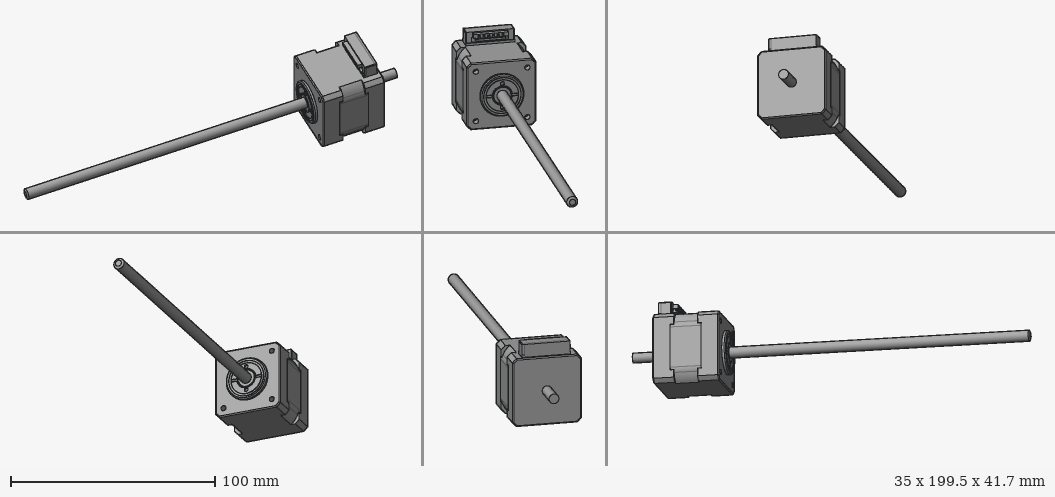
import cadquery as cq
import math


overall_length = 199.5
body_width = 35.0
body_length = 33.3
body_half = body_width / 2
body_middle_y = body_length / 2
cap_corner_diameter = 46.5
body_edge_chamfer = 0.5

stator_length = 12.0
stator_top_half = 13.0
stator_shoulder_x = 16.5
stator_shoulder_z = 12.8
stator_side_x = 17.25
stator_flat_half = 10.2
corner_bulge = 0.4
side_pocket_length = 15.5
side_pocket_height = 23.0

hole_spacing = 26.0
hole_diameter = 2.5
hole_depth = 4.0

boss_diameter = 22.0
boss_height = 1.8
boss_chamfer = 0.5
ring_outer_diameter = 18.8
ring_inner_diameter = 16.4
ring_depth = 0.4
bore_diameter = 10.0
bore_depth = 1.0
collar_diameter = 8.8
slot_width = 1.2
slot_depth = 0.5
boss_hole_diameter = 2.0
boss_hole_radius = 6.2
boss_hole_depth = 1.0

front_shaft_diameter = 5.5
rear_shaft_diameter = 5.0
rear_shaft_length = 13.5
tip_diameter = 3.2
tip_chamfer_length = 0.5
front_shaft_end = overall_length - rear_shaft_length - body_length

overall_height = 41.7
connector_width = 24.5
connector_height = overall_height - body_width
connector_depth = 6.5
connector_rear_gap = 1.8
connector_chamfer = 0.4
connector_rear_bevel_length = 1.2
connector_rear_bevel_inset = 0.2
foot_height = 1.2
foot_depth = 7.2
recess_width = 18.5
recess_top = 3.8
recess_depth = 0.5
lip_width = 17.5
lip_bottom = 4.2
lip_top = 6.2
lip_reach = 9.0
tongue_width = 15.0
tongue_bottom = 2.4
tongue_top = 3.4
tongue_reach = 8.4
web_reach = 7.5
contact_count = 6
contact_pitch = 2.4
contact_slot_width = 1.0
contact_slot_height = 1.2


def cylinder_y(diameter, start_y, end_y, x=0.0, z=0.0):
    """Round bar along Y between two Y positions."""
    base = cq.Workplane("XZ", origin=(x, start_y, z))
    return base.circle(diameter / 2).extrude(start_y - end_y)


def block(width, start_y, end_y, bottom, top):
    """Box centred on X = 0 between the given Y and Z limits."""
    base = cq.Workplane("XY", origin=(0, (start_y + end_y) / 2, bottom))
    return base.rect(width, abs(end_y - start_y)).extrude(top - bottom)


def stator_prism():
    """Stator section, with bulged corners and rolled side edges, along the whole body."""
    drop = stator_side_x - stator_shoulder_x
    rise = stator_shoulder_z - stator_flat_half
    roll_radius = (rise**2 + drop**2) / (2 * drop)
    half_angle = math.asin(rise / roll_radius) / 2
    roll_x = stator_side_x - roll_radius * (1 - math.cos(half_angle))
    roll_z = stator_flat_half + roll_radius * math.sin(half_angle)

    run = stator_shoulder_x - stator_top_half
    climb = body_half - stator_shoulder_z
    chord = math.hypot(run, climb)
    bulge_x = (stator_shoulder_x + stator_top_half) / 2 + corner_bulge * climb / chord
    bulge_z = (stator_shoulder_z + body_half) / 2 + corner_bulge * run / chord

    quarter = (
        cq.Workplane("XZ")
        .lineTo(stator_side_x, 0)
        .lineTo(stator_side_x, stator_flat_half)
        .threePointArc((roll_x, roll_z), (stator_shoulder_x, stator_shoulder_z))
        .threePointArc((bulge_x, bulge_z), (stator_top_half, body_half))
        .lineTo(0, body_half)
        .close()
        .extrude(-body_length)
    )
    upper_half = quarter.union(quarter.mirror("YZ"))
    return upper_half.union(upper_half.mirror("XY"))


def centred_block(length, height):
    """Full-width box of the given length about the middle of the body."""
    start_y = body_middle_y - length / 2
    return block(body_width, start_y, start_y + length, -height / 2, height / 2)


def motor_body():
    """Square body with arc corners, relieved corners and shallow side pockets."""
    body = block(body_width, 0, body_length, -body_half, body_half)
    body = body.intersect(cylinder_y(cap_corner_diameter, 0, body_length))
    body = body.faces("<Y or >Y").chamfer(body_edge_chamfer)
    relief = centred_block(stator_length, body_width)
    relief = relief.union(centred_block(side_pocket_length, side_pocket_height))
    return body.cut(relief.cut(stator_prism()))


def mounting_holes():
    """Four blind holes in the front face."""
    base = cq.Workplane("XZ").rect(hole_spacing, hole_spacing, forConstruction=True)
    return base.vertices().circle(hole_diameter / 2).extrude(-hole_depth)


def front_boss():
    """Round pilot boss with a ring groove, bearing recess, slots and pin holes."""
    face_y = -boss_height
    boss = cylinder_y(boss_diameter, 0, face_y).faces("<Y").chamfer(boss_chamfer)
    ring = cylinder_y(ring_outer_diameter, face_y, face_y + ring_depth)
    ring = ring.cut(cylinder_y(ring_inner_diameter, face_y, face_y + ring_depth))
    bore = cylinder_y(bore_diameter, face_y, face_y + bore_depth)
    bore = bore.cut(cylinder_y(collar_diameter, face_y, face_y + bore_depth))
    slots = block(ring_inner_diameter, face_y, face_y + slot_depth, -slot_width / 2, slot_width / 2)
    slots = slots.cut(cylinder_y(collar_diameter, face_y, face_y + slot_depth))
    boss = boss.cut(ring).cut(bore).cut(slots)
    for z in (-boss_hole_radius, boss_hole_radius):
        boss = boss.cut(cylinder_y(boss_hole_diameter, face_y, face_y + boss_hole_depth, z=z))
    return boss


def shafts():
    """Long front shaft with a chamfered tip, and short rear shaft."""
    front = cylinder_y(front_shaft_diameter, body_middle_y, -front_shaft_end)
    tip_inset = (front_shaft_diameter - tip_diameter) / 2
    front = front.faces("<Y").chamfer(tip_chamfer_length, tip_inset)
    rear = cylinder_y(rear_shaft_diameter, body_middle_y, body_length + rear_shaft_length)
    return front.union(rear)


def connector():
    """Side-entry cable connector standing on the top face, opening to the front."""
    rear_y = body_length - connector_rear_gap

    def piece(width, reach, bottom, top, start=0.0):
        return block(width, rear_y - start, rear_y - reach, body_half + bottom, body_half + top)

    blank = piece(connector_width, connector_depth, 0, connector_height)
    housing = blank.edges("(|Z and <Y) or (|Y and >Z)").chamfer(connector_chamfer)
    rear_edges = blank.faces(">Y").edges("not <Z")
    housing = housing.intersect(rear_edges.chamfer(connector_rear_bevel_inset, connector_rear_bevel_length))
    recess_floor = connector_depth - recess_depth
    housing = housing.cut(piece(recess_width, connector_depth, foot_height, recess_top, recess_floor))
    housing = housing.union(piece(connector_width, foot_depth, 0, foot_height))

    lip = piece(lip_width, lip_reach, lip_bottom, lip_top)
    slot_top = lip_bottom + contact_slot_height
    slot = piece(contact_slot_width, lip_reach, lip_bottom, slot_top, connector_depth)
    for index in range(contact_count):
        x = (index - (contact_count - 1) / 2) * contact_pitch
        lip = lip.cut(slot.translate((x, 0, 0)))

    web = piece(tongue_width, web_reach, tongue_top, lip_bottom)
    tongue = piece(tongue_width, tongue_reach, tongue_bottom, tongue_top)
    return housing.union(lip).union(web).union(tongue)


result = motor_body().cut(mounting_holes()).union(front_boss()).union(shafts()).union(connector())